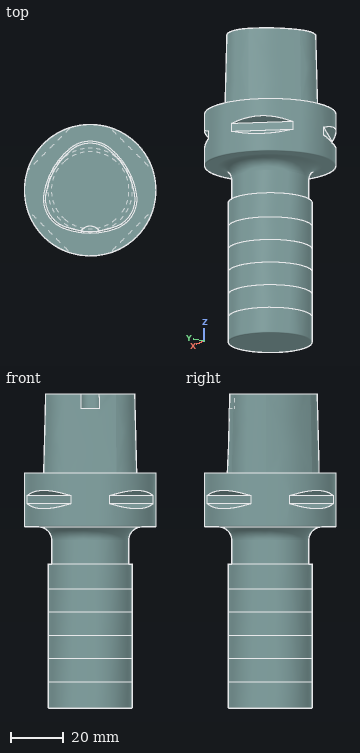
import cadquery as cq
import math

total_length = 119.4
taper_length = 30.0
flange_diameter = 50.0
flange_height = 20.5
flange_edge_fillet = 0.5
neck_diameter = 29.4
neck_fillet = 5.0
neck_end = 34.6

lobe_reach = 18.6
flank_reach = 16.4
lobe_radius = 12.0
taper_angle = math.degrees(math.atan(1 / 40))

notch_radius = 4.2
notch_center_y = -17.8
notch_height = 5.5

groove_count = 4
groove_drop = 10.1
groove_floor_distance = 22.1
groove_floor_height = 3.1
groove_ledge_distance = 22.8
groove_ledge_height = 3.8
groove_mouth_height = 6.9

ring_diameter = 32.0
ring_count = 6
first_seam = 44.1
ring_pitch = 8.8
tip_fillet = 0.5


def polar(radius, angle):
    """Point in the XY plane from a radius and an angle in degrees."""
    return (radius * math.cos(math.radians(angle)), radius * math.sin(math.radians(angle)))


def make_taper():
    """Tapered prism whose outline alternates lobe arcs and tangent flank arcs."""
    lobe_offset = lobe_reach - lobe_radius
    reach_gap = flank_reach - lobe_radius
    flank_offset = (lobe_offset**2 - reach_gap**2) / (2 * reach_gap - lobe_offset)
    flank_radius = flank_reach + flank_offset

    lobe_x, lobe_y = lobe_offset, 0.0
    flank_x, flank_y = polar(flank_offset, 60 - 180)
    joint_share = flank_radius / (flank_radius - lobe_radius)
    joint_x = flank_x + joint_share * (lobe_x - flank_x)
    joint_y = flank_y + joint_share * (lobe_y - flank_y)
    joint_distance = math.hypot(joint_x, joint_y)
    joint_angle = math.degrees(math.atan2(joint_y, joint_x))

    outline = cq.Workplane("XY").moveTo(*polar(joint_distance, 90 - joint_angle))
    for lobe_angle in (90, 210, 330):
        outline = outline.threePointArc(
            polar(lobe_reach, lobe_angle), polar(joint_distance, lobe_angle + joint_angle)
        )
        outline = outline.threePointArc(
            polar(flank_reach, lobe_angle + 60), polar(joint_distance, lobe_angle + 120 - joint_angle)
        )
    return outline.close().extrude(taper_length, taper=taper_angle)


def make_notch():
    """Round-backed cutter for the notch at the top of the taper."""
    return (
        cq.Workplane("XY", origin=(0, notch_center_y, taper_length - notch_height))
        .circle(notch_radius)
        .extrude(notch_height)
    )


def make_flange():
    """Flange disc with a rounded lower rim."""
    flange = cq.Workplane("XY").circle(flange_diameter / 2).extrude(-flange_height)
    return flange.faces("<Z").edges().fillet(flange_edge_fillet)


def make_neck():
    """Neck that flares into the underside of the flange through a concave fillet."""
    neck_radius = neck_diameter / 2
    arc_offset = neck_fillet * (1 - math.sqrt(0.5))
    profile = (
        cq.Workplane("XZ")
        .moveTo(0, -flange_height)
        .lineTo(neck_radius + neck_fillet, -flange_height)
        .threePointArc(
            (neck_radius + arc_offset, -flange_height - arc_offset),
            (neck_radius, -flange_height - neck_fillet),
        )
        .lineTo(neck_radius, -neck_end)
        .lineTo(0, -neck_end)
        .close()
    )
    return profile.revolve(360, (0, 0, 0), (0, 1, 0))


def make_groove(angle):
    """Flared cutter with a bevelled root, across the flange, opening outwards along the given angle."""
    flange_radius = flange_diameter / 2
    floor = groove_floor_height / 2
    ledge = groove_ledge_height / 2
    mouth = groove_mouth_height / 2
    return (
        cq.Workplane("XZ", origin=(0, 0, -groove_drop))
        .polyline(
            [
                (groove_floor_distance, -floor),
                (groove_ledge_distance, -ledge),
                (flange_radius, -mouth),
                (flange_radius, mouth),
                (groove_ledge_distance, ledge),
                (groove_floor_distance, floor),
            ]
        )
        .close()
        .extrude(flange_radius, both=True)
        .rotate((0, 0, 0), (0, 0, 1), angle)
    )


def make_shank():
    """Taper, flange and neck in one piece, with the notch and gripper grooves cut."""
    shank = make_flange().union(make_neck()).union(make_taper()).cut(make_notch())
    for index in range(groove_count):
        shank = shank.cut(make_groove((index + 0.5) * 360 / groove_count))
    return shank


def make_ring(top, bottom):
    """Cutting ring between two distances below the flange face."""
    return cq.Workplane("XY", origin=(0, 0, -bottom)).circle(ring_diameter / 2).extrude(bottom - top)


shank = make_shank()

seams = [first_seam + index * ring_pitch for index in range(ring_count - 1)]
ring_stations = [neck_end, *seams, total_length - taper_length]
rings = [make_ring(top, bottom) for top, bottom in zip(ring_stations[:-1], ring_stations[1:])]
rings[-1] = rings[-1].faces("<Z").edges().fillet(tip_fillet)

result = cq.Compound.makeCompound([shank.val(), *[ring.val() for ring in rings]])